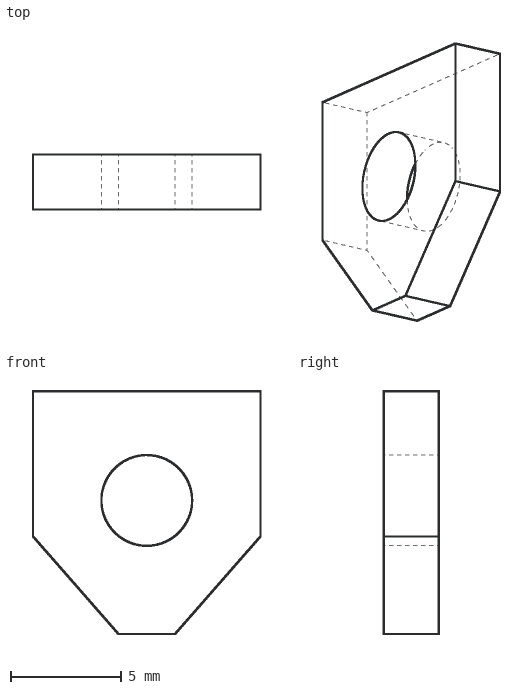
import cadquery as cq

width = 10.3
thickness = 2.5
height = 11.0

tip_width = 2.56
taper_height = 4.42

hole_diameter = 4.1
hole_below_top = 4.95


def make_plate():
    """Flat plate with a straight upper part tapering to a narrow flat tip.

    The hole axis is the Y axis; the back face lies at Y = 0 and the front face at Y = -thickness.
    """
    top = hole_below_top
    tip = top - height
    shoulder = tip + taper_height
    outline = [
        (-width / 2, top),
        (width / 2, top),
        (width / 2, shoulder),
        (tip_width / 2, tip),
        (-tip_width / 2, tip),
        (-width / 2, shoulder),
    ]
    return cq.Workplane("XZ").polyline(outline).close().extrude(thickness)


def make_hole():
    """Cylinder along the Y axis that passes right through the plate."""
    return cq.Workplane("XZ").circle(hole_diameter / 2).extrude(thickness)


result = make_plate().cut(make_hole())